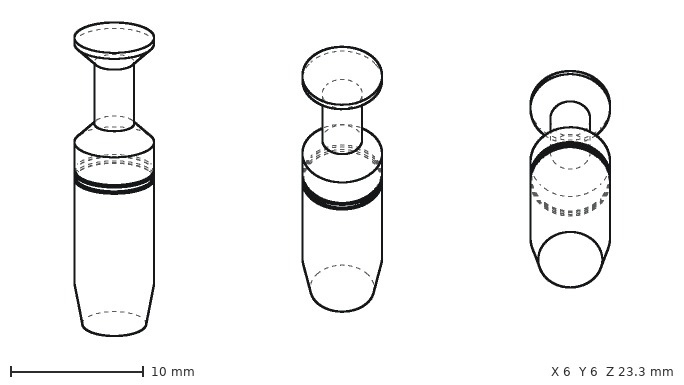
import cadquery as cq

total_height = 23.3
body_radius = 6.0 / 2
neck_radius = 3.0 / 2
tip_radius = 4.82 / 2

rim_height = 0.5
neck_length = 5.0
tip_height = 3.3
cone_height = body_radius - neck_radius

groove_depth = 0.1
groove_half_width = groove_depth
upper_groove_z = 12.45
groove_spacing = 0.51

rim_bottom = total_height - rim_height
neck_top = rim_bottom - cone_height
neck_bottom = neck_top - neck_length
body_top = neck_bottom - cone_height


def make_pin():
    """Revolve the half profile: tapered tip, body, neck and flared head."""
    return (
        cq.Workplane("XZ")
        .moveTo(0, 0)
        .lineTo(tip_radius, 0)
        .lineTo(body_radius, tip_height)
        .lineTo(body_radius, body_top)
        .lineTo(neck_radius, neck_bottom)
        .lineTo(neck_radius, neck_top)
        .lineTo(body_radius, rim_bottom)
        .lineTo(body_radius, total_height)
        .lineTo(0, total_height)
        .close()
        .revolve(360, (0, 0), (0, 1))
    )


def make_groove_cutter(center_z):
    """Ring with a triangular section, twice as deep as the groove so it clears the body."""
    return (
        cq.Workplane("XZ")
        .moveTo(body_radius - groove_depth, center_z)
        .lineTo(body_radius + groove_depth, center_z + 2 * groove_half_width)
        .lineTo(body_radius + groove_depth, center_z - 2 * groove_half_width)
        .close()
        .revolve(360, (0, 0), (0, 1))
    )


result = make_pin()
for groove_z in (upper_groove_z, upper_groove_z - groove_spacing):
    result = result.cut(make_groove_cutter(groove_z))